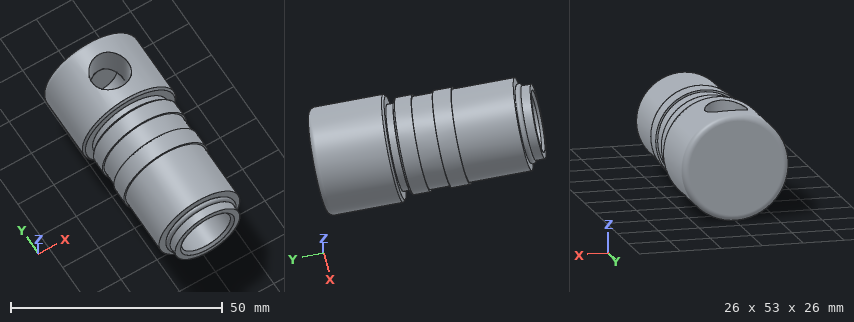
import cadquery as cq

length = 53.0
shoulder_y = 3.6
seal_width = 1.4
front_collar_y = 18.55
rear_collar_y = 28.15
collar_width = 4.5
neck_y = rear_collar_y + collar_width
head_y = 34.5

tip_radius = 9.0
seal_height = 0.65
body_radius = 11.25
collar_radius = 11.7
neck_radius = 10.5
head_diameter = 26.0
head_radius = head_diameter / 2

head_back_fillet = 1.5
head_front_chamfer = 0.55
collar_chamfer = 0.5

bore_radius = 6.8
bore_chamfer = 0.7
passage_radius = 5.05
port_inset = 9.5
port_y = length - port_inset


def cylinder(radius, start_y, end_y):
    """Solid cylinder on the Y axis between two positions."""
    plane = cq.Workplane("XZ", origin=(0, start_y, 0))
    return plane.circle(radius).extrude(start_y - end_y)


def seal_bead():
    """Ring of half-round section around the tip, against the shoulder."""
    front_y = shoulder_y - seal_width
    middle_y = shoulder_y - seal_width / 2
    profile = (
        cq.Workplane("XY")
        .moveTo(0, front_y)
        .lineTo(tip_radius, front_y)
        .threePointArc((tip_radius + seal_height, middle_y), (tip_radius, shoulder_y))
        .lineTo(0, shoulder_y)
        .close()
    )
    return profile.revolve(360, (0, 0, 0), (0, 1, 0))


head = (
    cylinder(head_radius, head_y, length)
    .faces(">Y").edges().fillet(head_back_fillet)
    .faces("<Y").edges().chamfer(head_front_chamfer)
)

front_collar = cylinder(collar_radius, front_collar_y, front_collar_y + collar_width)
rear_collar = (
    cylinder(collar_radius, rear_collar_y, neck_y)
    .faces(">Y").edges().chamfer(collar_chamfer)
)
outside = (
    cylinder(tip_radius, 0, shoulder_y)
    .union(seal_bead())
    .union(cylinder(body_radius, shoulder_y, rear_collar_y))
    .union(front_collar)
    .union(rear_collar)
    .union(cylinder(neck_radius, neck_y, head_y))
    .union(head)
)

bore = cylinder(bore_radius, 0, head_y)
mouth = (
    cq.Workplane("XY")
    .polyline([(0, 0), (bore_radius + bore_chamfer, 0), (bore_radius, bore_chamfer), (0, bore_chamfer)])
    .close()
    .revolve(360, (0, 0, 0), (0, 1, 0))
)

passage = cylinder(passage_radius, head_y, port_y + passage_radius)
port = cq.Workplane("XY", origin=(0, port_y, 0)).circle(passage_radius).extrude(head_radius)

result = outside.cut(bore).cut(mouth).cut(passage).cut(port)